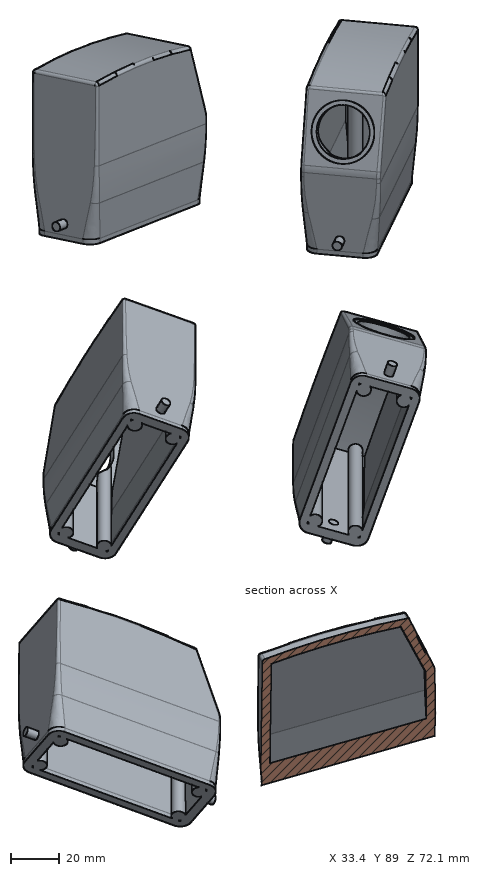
import math

import cadquery as cq

base_half_width = 14.9
base_half_length = 39.3
band_height = 2.2
end_draft = math.radians(0.7)

half_width = 16.7
bend_low = 18.2
bend_high = 34.5

base_corner = 5.1
bend_low_corner = 2.7
rim_radius = 1.4
top_corner = 1.0

slope_angle = math.radians(20.0)
slope_foot = 38.2
slope_bend_radius = 9.3

crown_height = 72.1
crown_y = -5.3
crown_radius = 293.7

entry_z = 53.8
entry_diameter = 22.4
seat_diameter = 26.4
seat_depth = 0.6
entry_depth = 12.5
clearance = 0.9

side_wall = 3.6
end_wall = 4.3
boss_radius = 3.0
boss_x = 8.7
boss_y = 32.8

pin_diameter = 4.0
pin_tip_y = 44.5
pin_z = 6.9

bend_middle = (bend_low + bend_high) / 2
flare_angle = math.atan((half_width - base_half_width) / (bend_middle - band_height))


def end_y(z):
    """Distance of the drafted end faces from the middle at height z."""
    return base_half_length - (z - band_height) * math.tan(end_draft)


def slope_y(z):
    """Position of the sloped face at height z."""
    return end_y(slope_foot) - (z - slope_foot) * math.tan(slope_angle)


def crown_z(y, inset=0.0):
    """Height of the crowned top, or of a parallel surface below it."""
    radius = crown_radius - inset
    return crown_height - crown_radius + math.sqrt(radius**2 - (y - crown_y) ** 2)


def corner_radius(z):
    """Radius of the upright corners at height z, changing evenly from stage to stage."""
    stages = [
        (band_height, base_corner),
        (bend_low, bend_low_corner),
        (bend_high, rim_radius),
        (crown_height, top_corner),
    ]
    for (low_z, low_radius), (high_z, high_radius) in zip(stages, stages[1:]):
        if z <= high_z:
            return low_radius + (high_radius - low_radius) * (z - low_z) / (high_z - low_z)
    return top_corner


def lengthwise_prism():
    """Side outline of the hood: drafted ends, sloped cable face and crowned top."""
    front_y = -end_y(crown_z(-end_y(crown_height)))
    back_y = slope_y(crown_z(slope_y(crown_height)))
    prism = (
        cq.Workplane("YZ")
        .moveTo(-end_y(band_height), band_height)
        .lineTo(end_y(band_height), band_height)
        .lineTo(end_y(slope_foot), slope_foot)
        .lineTo(back_y, crown_z(back_y))
        .threePointArc((crown_y, crown_height), (front_y, crown_z(front_y)))
        .close()
        .extrude(half_width, both=True)
    )
    foot = cq.selectors.NearestToPointSelector((0, end_y(slope_foot), slope_foot))
    return prism.edges(foot).fillet(slope_bend_radius)


def crosswise_prism():
    """End outline of the hood: flared sides bending smoothly into upright ones."""
    tangent_length = bend_high - bend_middle
    bend_radius = tangent_length / math.tan(flare_angle / 2)
    arc_start_x = half_width - tangent_length * math.sin(flare_angle)
    arc_start_z = bend_middle - tangent_length * math.cos(flare_angle)
    arc_middle_x = half_width - bend_radius * (1 - math.cos(flare_angle / 2))
    arc_middle_z = bend_high - bend_radius * math.sin(flare_angle / 2)
    return (
        cq.Workplane("XZ")
        .moveTo(-base_half_width, band_height)
        .lineTo(base_half_width, band_height)
        .lineTo(arc_start_x, arc_start_z)
        .threePointArc((arc_middle_x, arc_middle_z), (half_width, bend_high))
        .lineTo(half_width, crown_height)
        .lineTo(-half_width, crown_height)
        .lineTo(-half_width, bend_high)
        .threePointArc((-arc_middle_x, arc_middle_z), (-arc_start_x, arc_start_z))
        .close()
        .extrude(base_half_length, both=True)
    )


def round_edges(body):
    """Round the top rim evenly and the upright corners with a radius that follows their height."""
    rim = body.faces(">Z").edges().vals()
    corners = body.edges("not |X").edges("not |Y").vals()
    solid = body.val().Solids()[0]
    rounding = cq.occ_impl.shapes.BRepFilletAPI_MakeFillet(solid.wrapped)
    for edge in rim:
        rounding.Add(rim_radius, edge.wrapped)
    rim_chains = rounding.NbContours()
    for edge in corners:
        if rounding.Contour(edge.wrapped) == 0:
            rounding.Add(edge.wrapped)
    for chain in range(rim_chains + 1, rounding.NbContours() + 1):
        rising = cq.Vertex(rounding.FirstVertex(chain)).Z < cq.Vertex(rounding.LastVertex(chain)).Z
        for index in range(1, rounding.NbEdges(chain) + 1):
            span = cq.Edge(rounding.Edge(chain, index)).BoundingBox()
            radii = [corner_radius(span.zmin), corner_radius(span.zmax)]
            if not rising:
                radii.reverse()
            rounding.SetRadius(*radii, chain, index)
    return cq.Workplane(cq.Shape.cast(rounding.Shape()))


def outer_hood():
    """Solid hood: upright base band below the rounded main body."""
    band = cq.Workplane("XY").rect(2 * base_half_width, 2 * base_half_length).extrude(band_height)
    band = band.edges("|Z").fillet(base_corner)
    main_body = round_edges(lengthwise_prism().intersect(crosswise_prism()))
    return band.union(main_body)


def cavity():
    """Hollow that follows the outside at wall distance, with an upright boss in each corner."""
    slope_inset = end_wall / math.cos(slope_angle)
    inner_end = base_half_length - end_wall
    inner_foot = slope_foot - (slope_inset - end_wall) / math.tan(slope_angle)
    roof_height = crown_height - end_wall
    roof_front_y = -end_y(roof_height) + end_wall
    roof_back_y = slope_y(roof_height) - slope_inset
    lengthwise = (
        cq.Workplane("YZ")
        .moveTo(-inner_end, 0)
        .lineTo(inner_end, 0)
        .lineTo(end_y(inner_foot) - end_wall, inner_foot)
        .lineTo(roof_back_y, crown_z(roof_back_y, end_wall))
        .threePointArc((crown_y, roof_height), (roof_front_y, crown_z(roof_front_y, end_wall)))
        .close()
        .extrude(half_width, both=True)
    )
    inner_base = base_half_width - side_wall
    inner_side = half_width - side_wall
    right_side = [
        (inner_base, 0),
        (inner_base, band_height),
        (inner_side, bend_middle),
        (inner_side, crown_height),
    ]
    left_side = [(-x, z) for x, z in reversed(right_side)]
    crosswise = (
        cq.Workplane("XZ")
        .polyline(right_side + left_side)
        .close()
        .extrude(base_half_length, both=True)
    )
    bosses = (
        cq.Workplane("XY")
        .rect(2 * boss_x, 2 * boss_y, forConstruction=True)
        .vertices()
        .circle(boss_radius)
        .extrude(crown_height)
    )
    return lengthwise.intersect(crosswise).cut(bosses)


def cable_entry():
    """Entry hole with its shallow seat, both square to the sloped face."""
    outward = cq.Vector(0, math.cos(slope_angle), math.sin(slope_angle))
    start = cq.Vector(0, slope_y(entry_z), entry_z) + outward * clearance
    hole = cq.Solid.makeCylinder(entry_diameter / 2, entry_depth + clearance, start, -outward)
    seat = cq.Solid.makeCylinder(seat_diameter / 2, seat_depth + clearance, start, -outward)
    return cq.Workplane(hole).union(cq.Workplane(seat))


def pin(side):
    """Pin through an end wall; side is +1 for the +Y end and -1 for the -Y end."""
    root_y = base_half_length - end_wall
    root = cq.Vector(0, side * root_y, pin_z)
    outward = cq.Vector(0, side, 0)
    return cq.Workplane(
        cq.Solid.makeCylinder(pin_diameter / 2, pin_tip_y - root_y, root, outward)
    )


def make_hood():
    """Hollow hood; its +Y pin is integral and the hole in its -Y wall takes the loose pin."""
    shell = outer_hood().cut(cavity()).cut(cable_entry())
    return shell.union(pin(1)).cut(pin(-1))


hood = make_hood()
locking_pin = pin(-1)

result = cq.Compound.makeCompound([hood.val(), locking_pin.val()])